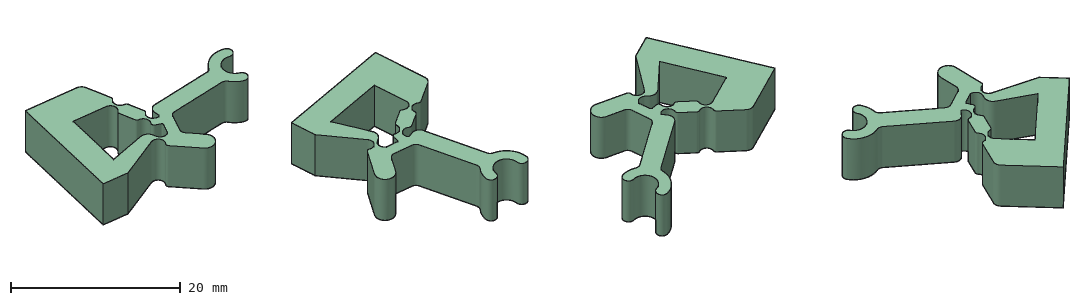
import cadquery as cq
import math


thickness = 6.35

notch_radius = 0.889
neck_width = 0.4
notch_offset = notch_radius + neck_width / 2

base_width = 16.15
floor_height = 3.55
cavity_right = 13.17
strut_lean = 107.9

frame_hinge = (5.235, 9.25)
link_angle = 24.0
link_length = 4.54
link_width = 1.98

strut_hinge = (13.025, 10.14)
lever_angle = 49.4
lever_length = 5.405
lever_width = 2.54

fork_center = (7.1, 25.02)
fork_inner_radius = 1.5875
fork_tine_width = 1.524
fork_left_tip_angle = 168.5
fork_right_tip_angle = 346.5
arm_angle = 279.25
arm_length = 12.78
arm_width = 2.54

crossbar_angle = -16.5
crossbar_thickness = 1.52
crossbar_start = (11.09, 12.02)

base_corner_radius = 1.0
heel_radius = 1.0
strut_corner_radius = 1.13
hinge_corner_radius = 0.4
crossbar_corner_radius = 0.8
fork_neck_radius = 0.85
cavity_corner_radius = 0.2
heel_notch_radius = 0.24


def move(point, angle, distance, left=0.0):
    """Go a distance along an angle, then a distance to the left of it."""
    c = math.cos(math.radians(angle))
    s = math.sin(math.radians(angle))
    return (point[0] + distance * c - left * s, point[1] + distance * s + left * c)


def crossing(point_a, angle_a, point_b, angle_b):
    """Crossing of two lines, each given by a point and an angle."""
    dx = point_b[0] - point_a[0]
    dy = point_b[1] - point_a[1]
    b = math.radians(angle_b)
    turn = math.radians(angle_b - angle_a)
    return move(point_a, angle_a, (dx * math.sin(b) - dy * math.cos(b)) / math.sin(turn))


def plate(points):
    return cq.Workplane("XY").polyline(points).close().extrude(thickness)


def disc(center, radius):
    return cq.Workplane("XY").center(*center).circle(radius).extrude(thickness)


def strip(start, angle, length, width):
    """Straight bar whose centreline runs from start along angle."""
    half = width / 2
    return plate([
        move(start, angle, 0, half),
        move(start, angle, 0, -half),
        move(start, angle, length, -half),
        move(start, angle, length, half),
    ])


def notch_centers(hinge, angle):
    """Left and right notch centres of a hinge whose neck runs along angle."""
    return move(hinge, angle, 0, notch_offset), move(hinge, angle, 0, -notch_offset)


def notch_corner(notch, point, angle):
    """Where the line leaving point along angle comes out of a notch."""
    radians = math.radians(angle)
    dx = notch[0] - point[0]
    dy = notch[1] - point[1]
    along = dx * math.cos(radians) + dy * math.sin(radians)
    across = dy * math.cos(radians) - dx * math.sin(radians)
    return move(point, angle, along + math.sqrt(notch_radius**2 - across**2))


arm_hinge = move(frame_hinge, link_angle, link_length)
frame_notch_top, frame_notch_bottom = notch_centers(frame_hinge, link_angle)
arm_notch_top, arm_notch_bottom = notch_centers(arm_hinge, link_angle)
strut_notch_left, strut_notch_right = notch_centers(strut_hinge, lever_angle)
notches = [
    frame_notch_top,
    frame_notch_bottom,
    arm_notch_top,
    arm_notch_bottom,
    strut_notch_left,
    strut_notch_right,
]

link_top = move(frame_hinge, link_angle, 0, link_width / 2)
link_bottom = move(frame_hinge, link_angle, 0, -link_width / 2)
base_corner = crossing((0, 0), 90, link_top, link_angle)
strut_top = move(strut_notch_left, link_angle, 0, -notch_radius)
strut_corner = crossing((cavity_right, floor_height), strut_lean, strut_top, link_angle)
arm_right = move(fork_center, arm_angle, 0, arm_width / 2)
crossbar_top = move(crossbar_start, crossbar_angle, 0, crossbar_thickness)
arm_corner = crossing(arm_right, arm_angle, crossbar_top, crossbar_angle)
lever_left = move(strut_hinge, lever_angle, 0, lever_width / 2)
lever_right = move(strut_hinge, lever_angle, 0, -lever_width / 2)
lever_corner = crossing(lever_left, lever_angle, crossbar_top, crossbar_angle)
heel_corner = move(fork_center, arm_angle, arm_length, -arm_width / 2)


def make_frame():
    """Base, left post and strut around the open cavity."""
    shoulder = (base_width, floor_height)
    dx = strut_notch_right[0] - shoulder[0]
    dy = strut_notch_right[1] - shoulder[1]
    face_angle = math.degrees(math.atan2(dy, dx) + math.asin(notch_radius / math.hypot(dx, dy)))
    strut_tangent = move(strut_notch_right, face_angle, 0, notch_radius)
    post_side = frame_notch_bottom[0] - notch_radius
    return plate([
        (0, 0),
        (base_width, 0),
        shoulder,
        strut_tangent,
        strut_notch_right,
        strut_notch_left,
        strut_top,
        strut_corner,
        (cavity_right, floor_height),
        (post_side, floor_height),
        (post_side, frame_notch_bottom[1]),
        frame_notch_bottom,
        link_top,
        base_corner,
    ])


def make_stub():
    """Piece below the arm that holds the arm hinge, square to the crossbar."""
    stub_foot = crossing(crossbar_start, crossbar_angle - 90, arm_notch_bottom, crossbar_angle)
    return plate([arm_notch_bottom, stub_foot, crossbar_start, arm_corner, arm_notch_top])


def make_lever():
    tip = move(strut_hinge, lever_angle, lever_length)
    return strip(strut_hinge, lever_angle, lever_length, lever_width).union(disc(tip, lever_width / 2))


def make_crossbar():
    lever_end = crossing(strut_hinge, lever_angle, crossbar_start, crossbar_angle)
    lever_end_top = crossing(strut_hinge, lever_angle, crossbar_top, crossbar_angle)
    return plate([crossbar_start, lever_end, lever_end_top, arm_corner])


def make_fork():
    """Open ring with rounded tine tips."""
    outer_radius = fork_inner_radius + fork_tine_width
    middle_radius = fork_inner_radius + fork_tine_width / 2
    middle_angle = (fork_left_tip_angle + fork_right_tip_angle) / 2
    ring = (
        cq.Workplane("XY")
        .moveTo(*move(fork_center, fork_left_tip_angle, outer_radius))
        .threePointArc(
            move(fork_center, middle_angle, outer_radius),
            move(fork_center, fork_right_tip_angle, outer_radius),
        )
        .lineTo(*move(fork_center, fork_right_tip_angle, fork_inner_radius))
        .threePointArc(
            move(fork_center, middle_angle, fork_inner_radius),
            move(fork_center, fork_left_tip_angle, fork_inner_radius),
        )
        .close()
        .extrude(thickness)
    )
    for tip_angle in (fork_left_tip_angle, fork_right_tip_angle):
        ring = ring.union(disc(move(fork_center, tip_angle, middle_radius), fork_tine_width / 2))
    return ring


def make_arm():
    """Bar from inside the fork ring down to the heel."""
    start = fork_inner_radius + fork_tine_width / 2
    return strip(move(fork_center, arm_angle, start), arm_angle, arm_length - start, arm_width)


def fork_neck_corner(side):
    """Where an arm side, given by its offset, leaves the fork ring."""
    outer_radius = fork_inner_radius + fork_tine_width
    return move(fork_center, arm_angle, math.sqrt(outer_radius**2 - side**2), side)


def round_corner(body, corner, radius):
    """Round the vertical edge nearest to a profile corner."""
    target = (corner[0], corner[1], thickness / 2)
    return body.edges("|Z").edges(cq.selectors.NearestToPointSelector(target)).fillet(radius)


body = make_frame()
body = body.union(strip(frame_hinge, link_angle, link_length, link_width))
body = body.union(make_stub()).union(make_lever())
for notch in notches:
    body = body.cut(disc(notch, notch_radius))
body = body.union(make_crossbar()).union(make_arm()).union(make_fork())
body = body.clean()

link_back = link_angle + 180
rounded_corners = [
    (base_corner, base_corner_radius),
    (strut_corner, strut_corner_radius),
    (heel_corner, heel_radius),
    (notch_corner(arm_notch_top, heel_corner, arm_angle + 90), heel_notch_radius),
    (crossbar_start, cavity_corner_radius),
    (arm_corner, crossbar_corner_radius),
    (lever_corner, crossbar_corner_radius),
    (fork_neck_corner(arm_width / 2), fork_neck_radius),
    (fork_neck_corner(-arm_width / 2), fork_neck_radius),
    (notch_corner(frame_notch_top, link_top, link_back), hinge_corner_radius),
    (notch_corner(frame_notch_top, link_top, link_angle), hinge_corner_radius),
    (notch_corner(frame_notch_bottom, link_bottom, link_angle), hinge_corner_radius),
    (notch_corner(arm_notch_top, link_top, link_back), hinge_corner_radius),
    (notch_corner(arm_notch_bottom, link_bottom, link_back), hinge_corner_radius),
    (notch_corner(arm_notch_bottom, crossbar_start, crossbar_angle + 90), hinge_corner_radius),
    (notch_corner(strut_notch_right, lever_right, lever_angle), hinge_corner_radius),
]
for corner, radius in rounded_corners:
    body = round_corner(body, corner, radius)

result = body